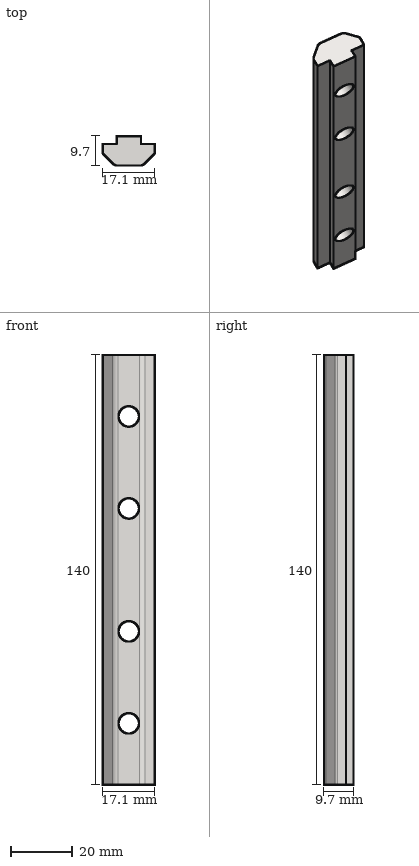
import cadquery as cq

length = 140.0
width = 17.1
depth = 9.7

stem_width = 8.0
stem_depth = 2.5
front_face_width = 9.1
chamfer = (width - front_face_width) / 2
front_corner_radius = 2.4
side_corner_radius = 1.1

hole_diameter = 6.6
hole_end_distance = 20.0
hole_pitch = 30.0
outer_hole_z = length / 2 - hole_end_distance
inner_hole_z = outer_hole_z - hole_pitch

front_y = -depth / 2
back_y = depth / 2
shoulder_y = back_y - stem_depth


def make_body():
    """Wide body with rounded chamfers along both front edges."""
    body_depth = depth - stem_depth
    body = (
        cq.Workplane("XY")
        .box(width, body_depth, length)
        .translate((0, front_y + body_depth / 2, 0))
        .faces("<Y").edges("|Z").chamfer(chamfer)
    )
    body = body.faces("<Y").edges("|Z").fillet(front_corner_radius)
    for side in ("<X", ">X"):
        body = body.faces(side).edges("|Z").edges("<Y").fillet(side_corner_radius)
    return body


def make_stem():
    """Narrow rib along the back of the body."""
    return (
        cq.Workplane("XY")
        .box(stem_width, stem_depth, length)
        .translate((0, shoulder_y + stem_depth / 2, 0))
    )


def make_holes():
    """Row of cylinders running through the full depth."""
    hole_heights = (-outer_hole_z, -inner_hole_z, inner_hole_z, outer_hole_z)
    return (
        cq.Workplane("XZ", origin=(0, back_y, 0))
        .pushPoints([(0, z) for z in hole_heights])
        .circle(hole_diameter / 2)
        .extrude(depth)
    )


result = make_body().union(make_stem()).cut(make_holes())